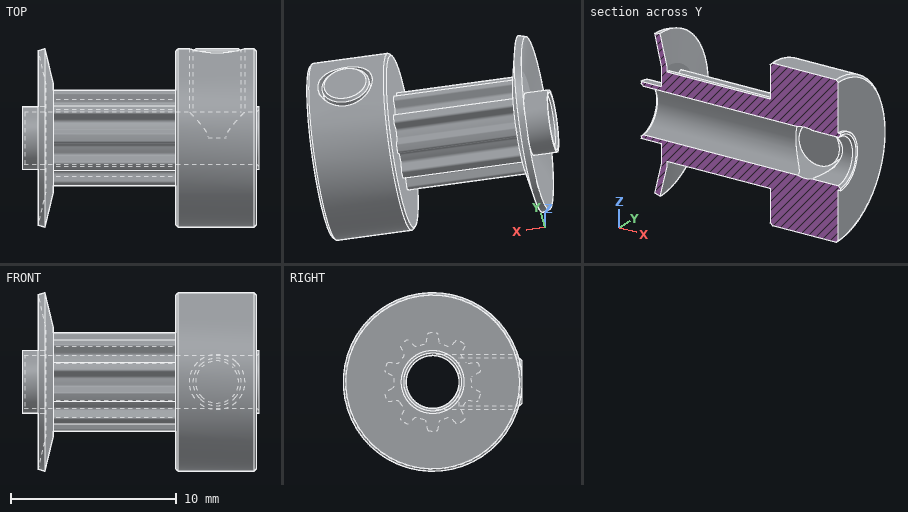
import cadquery as cq
import math


total_length = 14.29
sleeve_radius = 1.9
bore_radius = 1.59
bore_chamfer = 0.16

outer_diameter = 10.79
outer_radius = outer_diameter / 2
hub_start = 9.25
hub_end = 14.13
hub_chamfer = 0.16

flange_rim_start = 0.96
flange_rim_radius = 5.27
flange_tip = 1.37
flange_back = 1.87
flange_back_radius = 3.32
dish_floor = 1.45
dish_floor_radius = 3.19

tooth_count = 10
tooth_tip_radius = 2.97
tooth_root_radius = 2.33
tooth_tip_width = 0.6
tooth_root_width = 0.81
tip_fillet = 0.15
root_fillet = 0.21

screw_radius = 1.45
screw_chamfer = 0.16
screw_hole_radius = 1.67
screw_x = 11.75


def make_flange():
    """Dished disc, revolved about the X axis."""
    section = [
        (dish_floor, 0),
        (dish_floor, dish_floor_radius),
        (flange_rim_start, flange_rim_radius),
        (flange_tip, outer_radius),
        (flange_back, flange_back_radius),
        (flange_back, 0),
    ]
    return cq.Workplane("XY").polyline(section).close().revolve(360, (0, 0), (1, 0))


def polar(radius, angle):
    return (radius * math.cos(angle), radius * math.sin(angle))


def ridges_at(body, radius):
    """Straight edges along X that lie at the given distance from the axis."""
    tolerance = 0.001
    ridges = [
        edge for edge in body.edges("|X").vals()
        if abs(math.hypot(edge.Center().y, edge.Center().z) - radius) < tolerance
    ]
    return body.newObject(ridges)


def make_teeth():
    """Straight toothed bar from the flange to the hub, with one tooth centred on +Z."""
    pitch = 2 * math.pi / tooth_count
    tip_half_angle = math.asin(tooth_tip_width / 2 / tooth_tip_radius)
    root_half_angle = math.asin(tooth_root_width / 2 / tooth_root_radius)

    first = math.pi / 2
    outline = cq.Workplane("YZ", origin=(flange_back, 0, 0))
    outline = outline.moveTo(*polar(tooth_root_radius, first - root_half_angle))
    for index in range(tooth_count):
        middle = first + index * pitch
        tip_end = middle + tip_half_angle
        gap_middle = middle + pitch / 2
        next_root = middle + pitch - root_half_angle
        outline = (
            outline
            .lineTo(*polar(tooth_tip_radius, middle - tip_half_angle))
            .threePointArc(polar(tooth_tip_radius, middle), polar(tooth_tip_radius, tip_end))
            .lineTo(*polar(tooth_root_radius, middle + root_half_angle))
            .threePointArc(polar(tooth_root_radius, gap_middle), polar(tooth_root_radius, next_root))
        )
    teeth = outline.close().extrude(hub_start - flange_back)

    teeth = ridges_at(teeth, tooth_tip_radius).fillet(tip_fillet)
    return ridges_at(teeth, tooth_root_radius).fillet(root_fillet)


def make_hub():
    hub = cq.Workplane("YZ", origin=(hub_start, 0, 0)).circle(outer_radius).extrude(hub_end - hub_start)
    return hub.edges().chamfer(hub_chamfer)


def make_bore():
    """Through bore as a cutter, widened by a chamfer at both ends."""
    mouth_radius = bore_radius + bore_chamfer
    section = [
        (0, 0),
        (0, mouth_radius),
        (bore_chamfer, bore_radius),
        (total_length - bore_chamfer, bore_radius),
        (total_length, mouth_radius),
        (total_length, 0),
    ]
    return cq.Workplane("XY").polyline(section).close().revolve(360, (0, 0), (1, 0))


def make_screw_hole():
    """Radial hole as a cutter, from the axis out through the +Y side of the hub."""
    side = cq.Workplane("XZ", origin=(screw_x, 0, 0))
    return side.circle(screw_hole_radius).extrude(-outer_radius)


def make_pulley():
    sleeve = cq.Workplane("YZ").circle(sleeve_radius).extrude(total_length)
    pulley = make_flange().union(make_teeth()).union(make_hub()).union(sleeve)
    return pulley.cut(make_bore()).cut(make_screw_hole())


def make_set_screw():
    """Plain screw from the bore to the outside of the hub, chamfered at its outer end."""
    side = cq.Workplane("XZ", origin=(screw_x, bore_radius, 0))
    screw = side.circle(screw_radius).extrude(bore_radius - outer_radius)
    return screw.faces(">Y").edges().chamfer(screw_chamfer)


pulley = make_pulley()
set_screw = make_set_screw()
result = cq.Compound.makeCompound([pulley.val(), set_screw.val()])